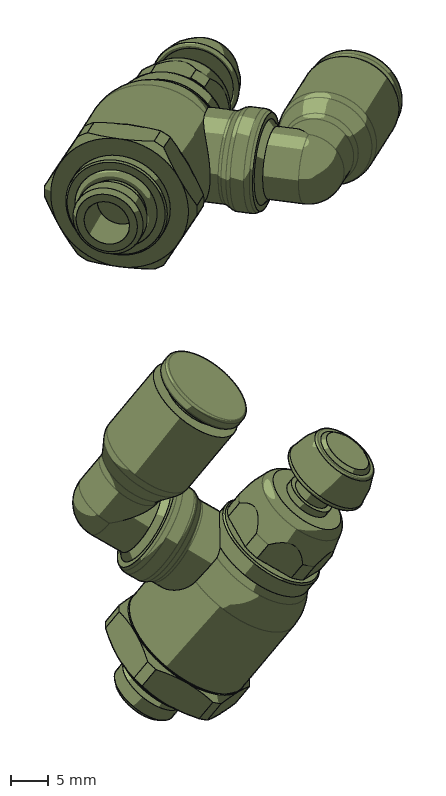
import cadquery as cq
import math


BORE_RADIUS = 3.1
THREAD_RADIUS = 4.85
THREAD_TOP = 2.6
TIP_CHAMFER = 0.6
RELIEF_RADIUS = 4.2
RELIEF_BOTTOM = THREAD_TOP + (THREAD_RADIUS - RELIEF_RADIUS)
FLANGE_RADIUS = 7.0
FLANGE_BOTTOM = 4.5
FLANGE_CHAMFER = 0.25
SEAL_SECTION_RADIUS = 0.7
SEAL_RING_RADIUS = RELIEF_RADIUS + SEAL_SECTION_RADIUS

HEX_APOTHEM = 9.5
HEX_CORNER_RADIUS = 10.55
HEX_BOTTOM = 6.2
HEX_TOP = 10.55
HEX_CHAMFER_HEIGHT = 0.6
BORE_DEPTH = HEX_BOTTOM

BODY_RADIUS = 9.45
BODY_CHAMFER = 0.2
SHOULDER_START = 22.8
SHOULDER_END = 26.9
SHOULDER_END_RADIUS = 8.2
COLLAR_RADIUS = 7.8
COLLAR_BOTTOM = 27.95
COLLAR_TOP = 30.45
COLLAR_CHAMFER = 0.25

NUT_APOTHEM = 7.0
NUT_CORNER_RADIUS = 7.55
NUT_BOTTOM = 30.9
NUT_CONE_START = 33.55
NUT_CONE_END = 37.4
NUT_CONE_END_RADIUS = 6.45
NUT_TOP = 38.55
NUT_TOP_RADIUS = 5.45
NUT_NECK_LOWER_RADIUS = 6.15
NUT_NECK_UPPER_RADIUS = 6.45

STEM_RING_RADIUS = 3.25
STEM_RING_TOP = 39.6
STEM_RADIUS = 2.6
STEM_CHAMFER = 0.2
STEM_TOP = 42.4
KNOB_BOTTOM = 42.6
KNOB_TOP = 48.0
KNOB_RIM_RADIUS = 5.95
KNOB_RIM_HEIGHT = 0.6
KNOB_RECESS_RADIUS = 5.3
KNOB_RECESS_TOP = 42.8
KNOB_SHOULDER_RADIUS = 4.75
KNOB_SHOULDER_ROUND = 0.3
KNOB_SHOULDER = 47.5
KNOB_BUTTON_RADIUS = 4.0
KNOB_FACE_RADIUS = 3.4
KNOB_SIDE_BULGE = 0.25

ARM_Y = 23.2
ARM_RADIUS = 6.3
RIM_SLOPE = math.radians(30)
RIM_FOOT_START = 10.55
RIM_FOOT_END = 11.0
RIM_CROWN_START = 11.8
RIM_CROWN_END = 12.45
RIM_FLAT_END = 14.3
RIM_FACE_ROUND_END = 15.0
RIM_FACE = 15.4
TAPER_END = 16.3

PIPE_RADIUS = 4.9
SOCKET_X = 21.25
SOCKET_RADIUS = 6.75
SOCKET_CONE_BOTTOM = 28.45
SOCKET_CONE_TOP = 31.75
SOCKET_CONE_BLEND = 2.3
SOCKET_TOP = 43.2
RELEASE_NECK_RADIUS = 4.65
RELEASE_BOTTOM = 44.3
RELEASE_TOP = 45.95
RELEASE_RADIUS = 6.55
RELEASE_FILLET = 0.35


def cylinder(radius, bottom, top):
    """Disc on the Y axis between two heights."""
    return cq.Workplane("XZ", origin=(0, bottom, 0)).circle(radius).extrude(bottom - top)


def spin(profile):
    """Revolve a closed profile of (radius, y) points about the Y axis."""
    return profile.close().revolve(360, (0, 0, 0), (0, 1, 0))


def bulged_middle(start, end, bulge):
    """Point beside the middle of a chord, moved away from the Y axis by the bulge."""
    dx = end[0] - start[0]
    dy = end[1] - start[1]
    length = math.hypot(dx, dy)
    return (
        (start[0] + end[0]) / 2 + bulge * abs(dy) / length,
        (start[1] + end[1]) / 2 + bulge * abs(dx) / length,
    )


def hexagon(apothem, bottom, top):
    """Hexagonal prism on the Y axis with flats facing +Z and -Z."""
    across_corners = 2 * apothem / math.cos(math.pi / 6)
    return cq.Workplane("XZ", origin=(0, bottom, 0)).polygon(6, across_corners).extrude(bottom - top)


def threaded_end():
    tip_radius = THREAD_RADIUS - TIP_CHAMFER
    shank = spin(
        cq.Workplane("XY")
        .moveTo(0, 0)
        .lineTo(tip_radius, 0)
        .lineTo(THREAD_RADIUS, TIP_CHAMFER)
        .lineTo(THREAD_RADIUS, THREAD_TOP)
        .lineTo(RELIEF_RADIUS, RELIEF_BOTTOM)
        .lineTo(RELIEF_RADIUS, FLANGE_BOTTOM)
        .lineTo(FLANGE_RADIUS - FLANGE_CHAMFER, FLANGE_BOTTOM)
        .lineTo(FLANGE_RADIUS, FLANGE_BOTTOM + FLANGE_CHAMFER)
        .lineTo(FLANGE_RADIUS, HEX_BOTTOM)
        .lineTo(0, HEX_BOTTOM)
    )
    seal = (
        cq.Workplane("XY")
        .center(SEAL_RING_RADIUS, FLANGE_BOTTOM)
        .circle(SEAL_SECTION_RADIUS)
        .revolve(360, (-SEAL_RING_RADIUS, 0, 0), (-SEAL_RING_RADIUS, 1, 0))
    )
    return shank.union(seal)


def wrench_hexagon():
    envelope = spin(
        cq.Workplane("XY")
        .moveTo(0, HEX_BOTTOM)
        .lineTo(HEX_APOTHEM, HEX_BOTTOM)
        .lineTo(HEX_CORNER_RADIUS, HEX_BOTTOM + HEX_CHAMFER_HEIGHT)
        .lineTo(HEX_CORNER_RADIUS, HEX_TOP - HEX_CHAMFER_HEIGHT)
        .lineTo(HEX_APOTHEM, HEX_TOP)
        .lineTo(0, HEX_TOP)
    )
    return hexagon(HEX_APOTHEM, HEX_BOTTOM, HEX_TOP).intersect(envelope)


def valve_body():
    return spin(
        cq.Workplane("XY")
        .moveTo(0, HEX_TOP)
        .lineTo(BODY_RADIUS - BODY_CHAMFER, HEX_TOP)
        .lineTo(BODY_RADIUS, HEX_TOP + BODY_CHAMFER)
        .lineTo(BODY_RADIUS, SHOULDER_START)
        .tangentArcPoint((SHOULDER_END_RADIUS, SHOULDER_END), relative=False)
        .lineTo(COLLAR_RADIUS, COLLAR_BOTTOM)
        .lineTo(COLLAR_RADIUS, COLLAR_TOP - COLLAR_CHAMFER)
        .lineTo(COLLAR_RADIUS - COLLAR_CHAMFER, COLLAR_TOP)
        .lineTo(NUT_NECK_LOWER_RADIUS, COLLAR_TOP)
        .lineTo(NUT_NECK_UPPER_RADIUS, NUT_BOTTOM)
        .lineTo(0, NUT_BOTTOM)
    )


def lock_nut():
    envelope = spin(
        cq.Workplane("XY")
        .moveTo(0, NUT_BOTTOM)
        .lineTo(NUT_CORNER_RADIUS, NUT_BOTTOM)
        .lineTo(NUT_CORNER_RADIUS, NUT_CONE_START)
        .lineTo(NUT_CONE_END_RADIUS, NUT_CONE_END)
        .tangentArcPoint((NUT_TOP_RADIUS, NUT_TOP), relative=False)
        .lineTo(0, NUT_TOP)
    )
    return hexagon(NUT_APOTHEM, NUT_BOTTOM, NUT_TOP).intersect(envelope)


def stem():
    ring = cylinder(STEM_RING_RADIUS, NUT_TOP, STEM_RING_TOP)
    shaft = cylinder(STEM_RADIUS, STEM_RING_TOP, STEM_TOP).edges(">Y").chamfer(STEM_CHAMFER)
    tenon = cylinder(STEM_RADIUS - STEM_CHAMFER, STEM_TOP, KNOB_RECESS_TOP)
    return ring.union(shaft).union(tenon)


def knob():
    rim = (KNOB_RIM_RADIUS, KNOB_BOTTOM + KNOB_RIM_HEIGHT)
    shoulder = (KNOB_SHOULDER_RADIUS, KNOB_SHOULDER - KNOB_SHOULDER_ROUND)
    lip_bottom = ((KNOB_RIM_RADIUS + KNOB_RECESS_RADIUS) / 2, KNOB_BOTTOM)
    recess_edge = (KNOB_RECESS_RADIUS, KNOB_RECESS_TOP)
    return spin(
        cq.Workplane("XY")
        .moveTo(0, KNOB_TOP)
        .lineTo(KNOB_FACE_RADIUS, KNOB_TOP)
        .lineTo(KNOB_BUTTON_RADIUS, KNOB_SHOULDER)
        .lineTo(KNOB_SHOULDER_RADIUS - KNOB_SHOULDER_ROUND, KNOB_SHOULDER)
        .tangentArcPoint(shoulder, relative=False)
        .threePointArc(bulged_middle(shoulder, rim, KNOB_SIDE_BULGE), rim)
        .threePointArc(lip_bottom, recess_edge)
        .lineTo(0, KNOB_RECESS_TOP)
    )


def side_arm():
    """Arm from the valve axis to the elbow, revolved about its own X-direction axis."""
    arc_rise = math.tan(RIM_SLOPE / 2)
    cone_rise = math.tan(RIM_SLOPE)
    foot_radius = ARM_RADIUS + (RIM_FOOT_END - RIM_FOOT_START) * arc_rise
    crown_radius = foot_radius + (RIM_CROWN_START - RIM_FOOT_END) * cone_rise
    rim_radius = crown_radius + (RIM_CROWN_END - RIM_CROWN_START) * arc_rise
    round_end_radius = rim_radius - (RIM_FACE_ROUND_END - RIM_FLAT_END) * arc_rise
    face_radius = round_end_radius - (RIM_FACE - RIM_FACE_ROUND_END) * cone_rise
    taper_radius = PIPE_RADIUS + TAPER_END - RIM_FACE
    return (
        cq.Workplane("XY", origin=(0, ARM_Y, 0))
        .moveTo(0, 0)
        .lineTo(0, ARM_RADIUS)
        .lineTo(RIM_FOOT_START, ARM_RADIUS)
        .tangentArcPoint((RIM_FOOT_END, foot_radius), relative=False)
        .lineTo(RIM_CROWN_START, crown_radius)
        .tangentArcPoint((RIM_CROWN_END, rim_radius), relative=False)
        .lineTo(RIM_FLAT_END, rim_radius)
        .tangentArcPoint((RIM_FACE_ROUND_END, round_end_radius), relative=False)
        .lineTo(RIM_FACE, face_radius)
        .lineTo(RIM_FACE, taper_radius)
        .lineTo(TAPER_END, PIPE_RADIUS)
        .lineTo(SOCKET_X, PIPE_RADIUS)
        .lineTo(SOCKET_X, 0)
        .close()
        .revolve(360, (0, 0, 0), (1, 0, 0))
    )


def tube_socket():
    """Socket with its release button, built on the Y axis and moved onto the elbow."""
    elbow_ball = cq.Workplane("XY").sphere(PIPE_RADIUS).translate((0, ARM_Y, 0))
    shell = spin(
        cq.Workplane("XY")
        .moveTo(0, ARM_Y)
        .lineTo(PIPE_RADIUS, ARM_Y)
        .lineTo(PIPE_RADIUS, SOCKET_CONE_BOTTOM)
        .lineTo(SOCKET_RADIUS, SOCKET_CONE_TOP)
        .lineTo(SOCKET_RADIUS, SOCKET_TOP)
        .lineTo(0, SOCKET_TOP)
    )
    cone_ends = cq.selectors.BoxSelector(
        (-SOCKET_X, SOCKET_CONE_BOTTOM - SOCKET_CONE_BLEND, -SOCKET_X),
        (SOCKET_X, SOCKET_CONE_TOP + SOCKET_CONE_BLEND, SOCKET_X),
    )
    shell = shell.edges("%CIRCLE").edges(cone_ends).fillet(SOCKET_CONE_BLEND)
    neck = cylinder(RELEASE_NECK_RADIUS, SOCKET_TOP, RELEASE_BOTTOM)
    button = cylinder(RELEASE_RADIUS, RELEASE_BOTTOM, RELEASE_TOP).edges().fillet(RELEASE_FILLET)
    socket = shell.union(elbow_ball).union(neck).union(button)
    return socket.translate((SOCKET_X, 0, 0))


result = threaded_end()
for piece in (wrench_hexagon(), valve_body(), lock_nut(), stem(), knob(), side_arm(), tube_socket()):
    result = result.union(piece)
result = result.cut(cylinder(BORE_RADIUS, 0, BORE_DEPTH))